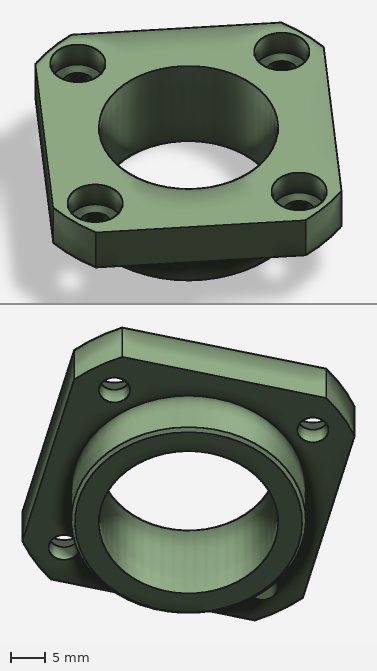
import cadquery as cq

flange_diameter = 51.95
flange_side = 42.0
flange_thickness = 7.0

boss_diameter = 34.0
boss_height = 8.0
boss_chamfer = 0.5
bore_diameter = 26.0

screw_circle_diameter = 42.0
screw_count = 4
screw_diameter = 4.5
counterbore_diameter = 8.0
counterbore_depth = 4.0


def make_flange():
    square = (
        cq.Workplane("XY")
        .rect(flange_side, flange_side)
        .extrude(flange_thickness)
        .rotate((0, 0, 0), (0, 0, 1), 45)
    )
    disc = cq.Workplane("XY").circle(flange_diameter / 2).extrude(flange_thickness)
    return square.intersect(disc)


def make_boss():
    boss = cq.Workplane("XY").circle(boss_diameter / 2).extrude(-boss_height)
    return boss.faces("<Z").chamfer(boss_chamfer)


body = make_flange().union(make_boss())

bore = (
    cq.Workplane("XY")
    .workplane(offset=-boss_height)
    .circle(bore_diameter / 2)
    .extrude(boss_height + flange_thickness)
)

result = (
    body.cut(bore)
    .faces(">Z")
    .workplane(origin=(0, 0, flange_thickness))
    .polarArray(screw_circle_diameter / 2, 0, 360, screw_count)
    .cboreHole(screw_diameter, counterbore_diameter, counterbore_depth)
)